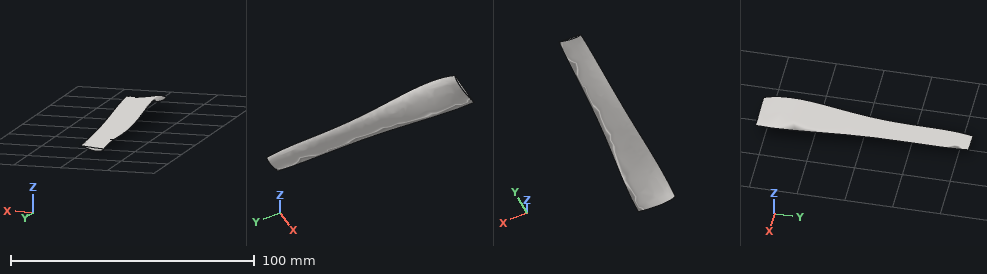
import cadquery as cq
import math

span = 88.0

nose = (0.0, 0.0)
tail = (1.0, 0.0)
upper_side = [(0.65, 0.002), (0.33, 0.013), (0.12, 0.024), (0.035, 0.02)]
lower_side = [(0.05, -0.055), (0.19, -0.11), (0.4, -0.122), (0.62, -0.093), (0.84, -0.043)]
airfoil = [tail, *upper_side, nose, *lower_side, tail]

stations = [
    (0.0, (0.0, 0.35), (17.0, 0.0)),
    (16.5, (0.4, 2.7), (16.0, -0.7)),
    (36.4, (0.35, -0.4), (13.8, -1.2)),
    (61.2, (0.4, -2.7), (12.0, -2.3)),
    (span, (0.7, -4.1), (10.7, -3.0)),
]


def blade_section(distance, nose_point, tail_point):
    """Airfoil wire scaled and turned so its chord joins the nose to the tail."""
    nose_x, nose_z = nose_point
    chord_x = tail_point[0] - nose_x
    chord_z = tail_point[1] - nose_z
    chord = math.hypot(chord_x, chord_z)
    twist = math.degrees(math.atan2(chord_z, chord_x))
    points = [cq.Vector(along * chord, 0, height * chord) for along, height in airfoil]
    outline = cq.Edge.makeSpline(points)
    turned = outline.rotate(cq.Vector(0, 0, 0), cq.Vector(0, 1, 0), -twist)
    return cq.Wire.assembleEdges([turned.translate(cq.Vector(nose_x, distance, nose_z))])


sections = [blade_section(*station) for station in stations]
result = cq.Workplane(obj=cq.Solid.makeLoft(sections))